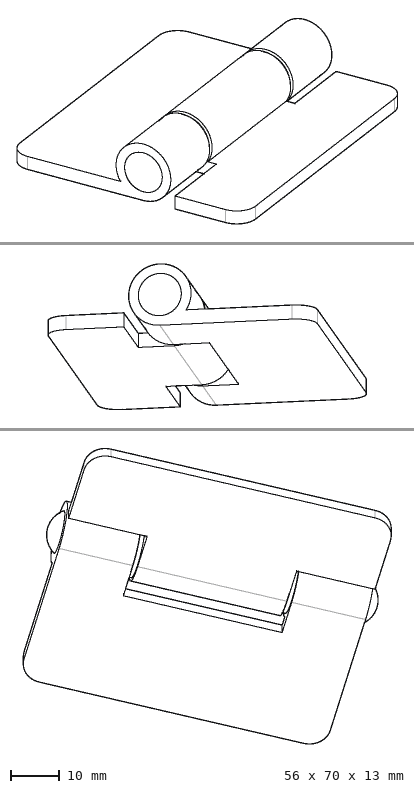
import cadquery as cq

total_length = 70.0
leaf_length = 65.0
left_reach = 32.0
right_reach = 24.0
knuckle_radius = 6.5
leaf_thickness = 3.0
corner_radius = 4.5
clearance = 1.0
end_knuckle_length = 15.7
pin_radius = 4.5
washer_radius = 5.8

leaf_end = leaf_length / 2
end_knuckle_inner = leaf_end - end_knuckle_length
middle_half_length = end_knuckle_inner - clearance
cutout_reach = knuckle_radius + clearance
plate_bottom = -knuckle_radius


def cylinder(radius, y_start, y_end):
    """Cylinder on the hinge axis between two Y positions."""
    return (
        cq.Workplane("XZ", origin=(0, y_start, 0))
        .circle(radius)
        .extrude(y_start - y_end)
    )


def plate(x_start, x_end, y_start, y_end):
    """Flat rectangle of leaf stock, level with the bottom of the knuckles."""
    return cq.Workplane("XY").box(
        x_end - x_start, y_end - y_start, leaf_thickness, centered=False
    ).translate((x_start, y_start, plate_bottom))


def pin_bore():
    """Bore through all the knuckles, filled by the pin."""
    return cylinder(pin_radius, -leaf_end, leaf_end)


def make_left_leaf():
    """Leaf on the -X side, with a knuckle at each end and a cutout between."""
    leaf = plate(-left_reach, 0, -leaf_end, leaf_end)
    leaf = leaf.edges("|Z and <X").fillet(corner_radius)
    leaf = leaf.cut(plate(-cutout_reach, 0, -end_knuckle_inner, end_knuckle_inner))
    leaf = leaf.union(cylinder(knuckle_radius, end_knuckle_inner, leaf_end))
    leaf = leaf.union(cylinder(knuckle_radius, -leaf_end, -end_knuckle_inner))
    return leaf.cut(pin_bore())


def make_right_leaf():
    """Leaf on the +X side, joined by a tongue to the middle knuckle."""
    leaf = plate(cutout_reach, right_reach, -leaf_end, leaf_end)
    leaf = leaf.edges("|Z and >X").fillet(corner_radius)
    leaf = leaf.union(plate(0, cutout_reach, -middle_half_length, middle_half_length))
    leaf = leaf.union(cylinder(knuckle_radius, -middle_half_length, middle_half_length))
    return leaf.cut(pin_bore())


def make_pin():
    """Round pin with a shallow spherical dome at each end."""
    pin_end = total_length / 2
    dome_height = pin_end - leaf_end
    dome_radius = (pin_radius**2 + dome_height**2) / (2 * dome_height)
    dome_center = pin_end - dome_radius
    arc_x = pin_radius / 2
    arc_y = dome_center + (dome_radius**2 - arc_x**2) ** 0.5
    return (
        cq.Workplane("XY")
        .moveTo(0, -pin_end)
        .threePointArc((arc_x, -arc_y), (pin_radius, -leaf_end))
        .lineTo(pin_radius, leaf_end)
        .threePointArc((arc_x, arc_y), (0, pin_end))
        .close()
        .revolve(360, (0, 0, 0), (0, 1, 0))
    )


def make_washer(y_start):
    """Washer filling the gap between two knuckles."""
    return cylinder(washer_radius, y_start, y_start + clearance).cut(pin_bore())


left_leaf = make_left_leaf()
right_leaf = make_right_leaf()
pin = make_pin()
washers = [make_washer(y) for y in (-end_knuckle_inner, middle_half_length)]

result = cq.Compound.makeCompound(
    [
        left_leaf.solids().val(),
        right_leaf.solids().val(),
        pin.val(),
        *[washer.solids().val() for washer in washers],
    ]
)